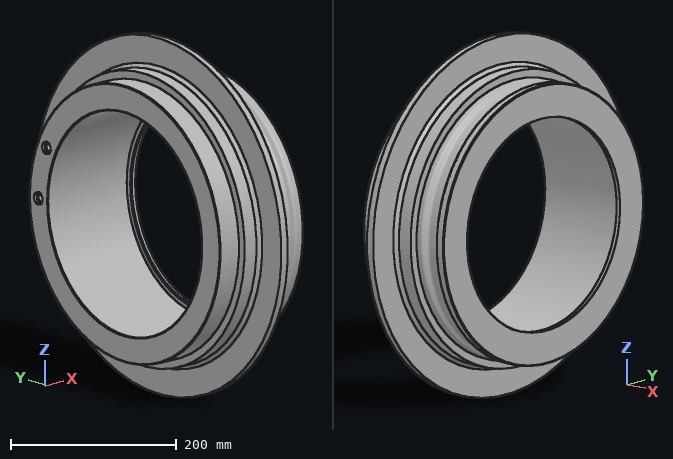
import cadquery as cq
import math

LENGTH = 135.0
BODY_RADIUS = 172.5
END_CHAMFER = 1.0

FLANGE_RADIUS = 222.5
FLANGE_START = 54.7
FLANGE_THICKNESS = 10.2
FLANGE_END = FLANGE_START + FLANGE_THICKNESS

COLLAR_RADIUS = 183.0
COLLAR_START = 30.5
COLLAR_END = 89.5
BEAD_SIZE = 5.0

GROOVE_CENTER = 111.0
GROOVE_FLOOR_WIDTH = 10.5
GROOVE_DEPTH = 7.0
GROOVE_WALL_ANGLE = 60
GROOVE_ROUNDING = 4.5

BORE_RADIUS = 139.5
LIP_RADIUS = 131.5
LIP_WIDTH = 7.0
LIP_CHAMFER = 1.5

HOLE_CIRCLE_RADIUS = 156.0
HOLE_SPACING_ANGLE = 25
HOLE_COUNT = 2
COUNTERBORE_RADIUS = 7.5
COUNTERBORE_DEPTH = 4.5
HOLE_RADIUS = 5.0
HOLE_DEPTH = 13.5
PILOT_RADIUS = 3.5
PILOT_DEPTH = 26.5


def groove_profile(profile):
    """Add the groove: sloped walls, rounded convex at the rim and concave at the floor."""
    floor_radius = BODY_RADIUS - GROOVE_DEPTH
    slope = math.radians(GROOVE_WALL_ANGLE)
    arc_width = GROOVE_ROUNDING * math.sin(slope)
    arc_height = GROOVE_ROUNDING * (1 - math.cos(slope))
    half_arc_width = GROOVE_ROUNDING * math.sin(slope / 2)
    half_arc_height = GROOVE_ROUNDING * (1 - math.cos(slope / 2))
    straight_width = (GROOVE_DEPTH - 2 * arc_height) / math.tan(slope)

    floor_half = GROOVE_FLOOR_WIDTH / 2
    top_half = floor_half + 2 * arc_width + straight_width
    wall = [
        (top_half, BODY_RADIUS),
        (top_half - half_arc_width, BODY_RADIUS - half_arc_height),
        (top_half - arc_width, BODY_RADIUS - arc_height),
        (floor_half + arc_width, floor_radius + arc_height),
        (floor_half + half_arc_width, floor_radius + half_arc_height),
        (floor_half, floor_radius),
    ]
    down = [(GROOVE_CENTER - offset, radius) for offset, radius in wall]
    up = [(GROOVE_CENTER + offset, radius) for offset, radius in reversed(wall)]
    for start, first_mid, first_end, second_start, second_mid, end in (down, up):
        profile = (
            profile
            .lineTo(*start)
            .threePointArc(first_mid, first_end)
            .lineTo(*second_start)
            .threePointArc(second_mid, end)
        )
    return profile


def turned_ring():
    """Revolve the half section, drawn as (axial position, radius), about the X axis."""
    lip_start = LENGTH - LIP_WIDTH
    profile = (
        cq.Workplane("XY")
        .moveTo(0, BORE_RADIUS + END_CHAMFER)
        .lineTo(0, BODY_RADIUS - END_CHAMFER)
        .lineTo(END_CHAMFER, BODY_RADIUS)
        .lineTo(COLLAR_START, BODY_RADIUS)
        .lineTo(COLLAR_START, COLLAR_RADIUS)
        .lineTo(FLANGE_START - BEAD_SIZE, COLLAR_RADIUS)
        .lineTo(FLANGE_START, COLLAR_RADIUS + BEAD_SIZE)
        .lineTo(FLANGE_START, FLANGE_RADIUS)
        .lineTo(FLANGE_END, FLANGE_RADIUS)
        .lineTo(FLANGE_END, COLLAR_RADIUS + BEAD_SIZE)
        .lineTo(FLANGE_END + BEAD_SIZE, COLLAR_RADIUS)
        .lineTo(COLLAR_END, COLLAR_RADIUS)
        .lineTo(COLLAR_END, BODY_RADIUS)
    )
    profile = (
        groove_profile(profile)
        .lineTo(LENGTH - END_CHAMFER, BODY_RADIUS)
        .lineTo(LENGTH, BODY_RADIUS - END_CHAMFER)
        .lineTo(LENGTH, LIP_RADIUS)
        .lineTo(lip_start + LIP_CHAMFER, LIP_RADIUS)
        .lineTo(lip_start, LIP_RADIUS + LIP_CHAMFER)
        .lineTo(lip_start, BORE_RADIUS)
        .lineTo(END_CHAMFER, BORE_RADIUS)
        .close()
    )
    return profile.revolve(360, (0, 0, 0), (1, 0, 0))


def stepped_hole(angle):
    """Cutter for one stepped hole, at an angle from +Y toward +Z."""
    y = HOLE_CIRCLE_RADIUS * math.cos(math.radians(angle))
    z = HOLE_CIRCLE_RADIUS * math.sin(math.radians(angle))
    face = cq.Workplane("YZ").center(y, z)
    counterbore = face.circle(COUNTERBORE_RADIUS).extrude(COUNTERBORE_DEPTH)
    hole = face.circle(HOLE_RADIUS).extrude(HOLE_DEPTH)
    pilot = face.circle(PILOT_RADIUS).extrude(PILOT_DEPTH)
    return counterbore.union(hole).union(pilot)


result = turned_ring()
for index in range(HOLE_COUNT):
    result = result.cut(stepped_hole(index * HOLE_SPACING_ANGLE))